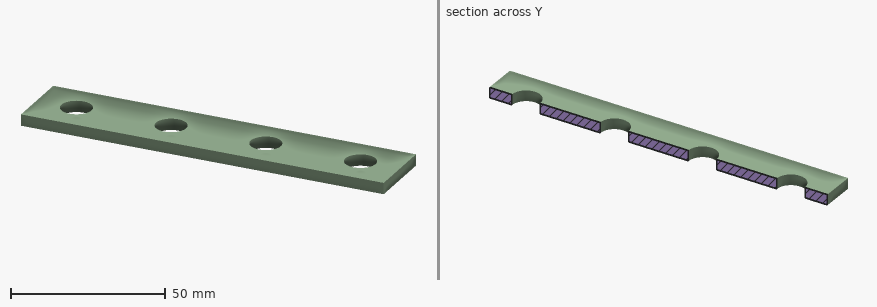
import cadquery as cq

length = 129.4
width = 25.0
thickness = 4.0

hole_count = 4
hole_pitch = 33.8
hole_diameter = 10.7

bar = cq.Workplane("XY").box(length, width, thickness)

result = (
    bar.faces(">Z")
    .workplane()
    .rarray(hole_pitch, width, hole_count, 1)
    .hole(hole_diameter)
)